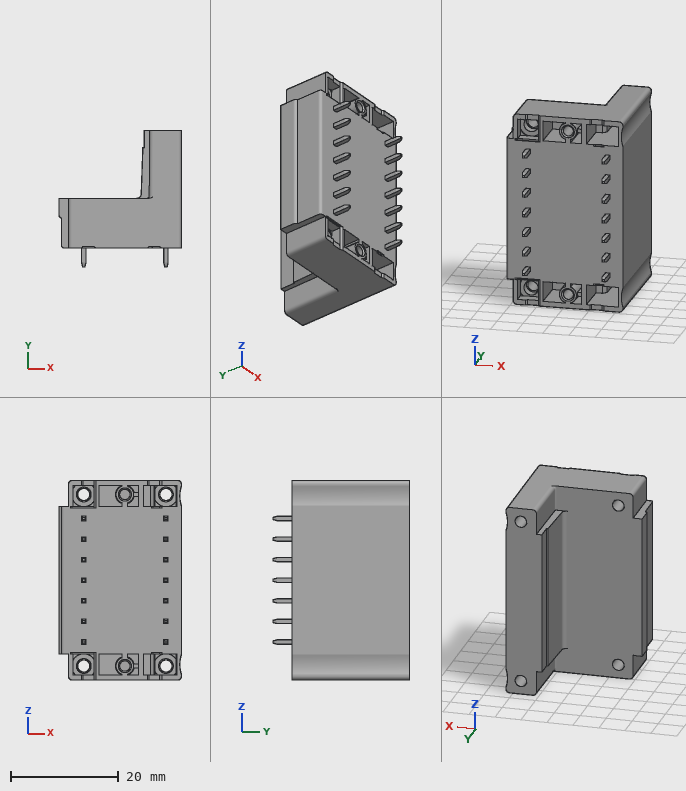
import cadquery as cq
import math


LENGTH = 37.05
WIDTH = 22.7
HEIGHT = 21.85
HALF_LENGTH = LENGTH / 2

END_LENGTH = 4.8
MIDDLE_LENGTH = LENGTH - 2 * END_LENGTH
FOOT_HEIGHT = 9.25
STEP_DEPTH = 0.45
STEP_Y = 6.1
STEP_RADIUS = 0.55
FOOT_EDGE_RADIUS = 0.55
LEDGE_Y = 18.65
LEDGE_X = 15.53
WALL_BASE_X = 15.2
WALL_TOP_X = 15.8
WALL_BASE_RADIUS = 0.8

END_FOOT_X = 1.75
END_WALL_BASE_X = 16.7
END_WALL_TOP_X = 16.83
END_EDGE_RADIUS = 0.75
END_BASE_RADIUS = 0.3
BACK_RADIUS = 0.75
DENT_DEPTH = 0.3
DENT_RADIUS = 5.93

PIN_PITCH = 3.8
PIN_COUNT = 7
PIN_ROW_X = 4.6
PIN_ROW_SPACING = 15.25
PIN_WIDTH = 0.85
PIN_TIP_WIDTH = 0.4
PIN_LENGTH = 3.52
PIN_TIP_LENGTH = 0.8

POCKET_TOP = HALF_LENGTH - 1.0
POCKET_BOTTOM = HALF_LENGTH - END_LENGTH
AXIS_Z = HALF_LENGTH - 2.63

FOOT_POCKET = (2.55, 6.5)
FOOT_POCKET_DEPTH = 2.22

SHELF_X = 15.7
SLOPE_START_X = 16.97
BAY_X = 17.65
BAY_END_X = 21.85
BAY_DRAFT = 0.15
SHELF_DEPTH = 7.4
SLOPE_DROP = BAY_X - SLOPE_START_X
BAY_DEPTH = 14.82

SCREW_RADIUS = 1.1
COUNTERBORE_RADIUS = 1.37
COUNTERBORE_DEPTH = 1.85
SEAT_RADIUS = 2.25
SEAT_DEPTH = 0.2

BOSS_POCKET = (7.4, 14.8)
BOSS_POCKET_DEPTH = 7.4
BOSS_X = PIN_ROW_X + PIN_ROW_SPACING / 2
BOSS_RADIUS = 1.63
BOSS_BASE_RADIUS = 1.75
BOSS_HOLE_RADIUS = 0.95
BOSS_MOUTH_RADIUS = 1.22
BOSS_MOUTH_DEPTH = 0.3
BOSS_HOLE_DEPTH = 5.55
CROSS_RIB_WIDTH = 1.0
SIDE_RIB_WIDTH = 0.75
SIDE_RIB_DROP = 0.75

CHANNEL_DEPTH = 0.3
CHANNEL_BOTTOM = POCKET_BOTTOM - 0.3
FOOT_CHANNEL_OUTER_X = 4.15
FOOT_CHANNEL_INNER_X = 2.1
FOOT_CHANNEL_END_X = 6.9
WALL_CHANNEL_OUTER_X = 16.38
WALL_CHANNEL_INNER_X = 17.12
WALL_CHANNEL_END_X = 19.1
LEFT_BEVEL = 0.3
RIGHT_BEVEL = 0.4


def block(x0, x1, y0, y1, z0, z1):
    """Box between two opposite corners."""
    return cq.Workplane("XY").box(x1 - x0, y1 - y0, z1 - z0, centered=False).translate((x0, y0, z0))


def rod(x, radius, y0, y1, z=AXIS_Z):
    """Cylinder along Y."""
    return cq.Workplane("XZ", origin=(x, y0, z)).circle(radius).extrude(y0 - y1)


def cone(x, front_radius, back_radius, depth):
    """Round taper along Y starting at the pin face."""
    start = cq.Vector(x, 0, AXIS_Z)
    along_y = cq.Vector(0, 1, 0)
    return cq.Workplane("XY").add(cq.Solid.makeCone(front_radius, back_radius, depth, start, along_y))


def middle_section():
    """Housing between the two ends, as one L-shaped extrusion along Z."""
    step_angle = math.acos(1 - STEP_DEPTH / STEP_RADIUS)
    step_mid_x = STEP_RADIUS * (1 - math.cos(step_angle / 2))
    step_mid_y = STEP_Y - STEP_RADIUS * math.sin(step_angle / 2)
    step_end_y = STEP_Y - STEP_RADIUS * math.sin(step_angle)
    profile = (
        cq.Workplane("XY")
        .moveTo(WIDTH, 0)
        .lineTo(WIDTH, HEIGHT)
        .lineTo(WALL_TOP_X, HEIGHT)
        .lineTo(WALL_TOP_X, LEDGE_Y)
        .lineTo(LEDGE_X, LEDGE_Y)
        .lineTo(WALL_BASE_X, FOOT_HEIGHT)
        .lineTo(0, FOOT_HEIGHT)
        .lineTo(0, STEP_Y)
        .threePointArc((step_mid_x, step_mid_y), (STEP_DEPTH, step_end_y))
        .lineTo(STEP_DEPTH, 0)
        .close()
        .extrude(MIDDLE_LENGTH)
        .translate((0, 0, -MIDDLE_LENGTH / 2))
    )
    rounded = profile.edges(cq.NearestToPointSelector((STEP_DEPTH, 0, 0))).fillet(FOOT_EDGE_RADIUS)
    return rounded.edges(cq.NearestToPointSelector((WALL_BASE_X, FOOT_HEIGHT, 0))).fillet(WALL_BASE_RADIUS)


def end_section():
    """Solid +Z end of the housing, before its pockets are cut."""
    foot = block(END_FOOT_X, WIDTH, 0, FOOT_HEIGHT, POCKET_BOTTOM, HALF_LENGTH)
    foot = foot.edges("|Y and >Z and <X").fillet(END_EDGE_RADIUS)
    wall = (
        cq.Workplane("XY", origin=(0, 0, POCKET_BOTTOM))
        .moveTo(WIDTH, 0)
        .lineTo(WIDTH, HEIGHT)
        .lineTo(END_WALL_TOP_X, HEIGHT)
        .lineTo(END_WALL_BASE_X, FOOT_HEIGHT)
        .lineTo(END_WALL_BASE_X, 0)
        .close()
        .extrude(END_LENGTH)
    )
    outer_corner = ((END_WALL_BASE_X + END_WALL_TOP_X) / 2, (FOOT_HEIGHT + HEIGHT) / 2, HALF_LENGTH)
    wall = wall.edges(cq.NearestToPointSelector(outer_corner)).fillet(END_EDGE_RADIUS)
    body = foot.union(wall)
    base = (END_WALL_BASE_X, FOOT_HEIGHT, POCKET_BOTTOM + END_LENGTH / 2)
    body = body.edges(cq.NearestToPointSelector(base)).fillet(END_BASE_RADIUS)
    body = body.edges("|Y and >Z and >X").fillet(BACK_RADIUS)
    dent_z = (POCKET_TOP + POCKET_BOTTOM) / 2
    return body.cut(rod(WIDTH - DENT_DEPTH + DENT_RADIUS, DENT_RADIUS, 0, HEIGHT, dent_z))


def screw_hole(x, seat_y, exit_y):
    """Stepped screw hole running from a pocket floor out through the housing."""
    hole = rod(x, SCREW_RADIUS, seat_y, exit_y)
    return hole.union(rod(x, COUNTERBORE_RADIUS, seat_y, seat_y + SEAT_DEPTH + COUNTERBORE_DEPTH))


def foot_screw_pocket():
    """Short pocket with a round screw seat sunk in its floor."""
    x0, x1 = FOOT_POCKET
    pocket = block(x0, x1, 0, FOOT_POCKET_DEPTH, POCKET_BOTTOM, POCKET_TOP)
    reach = block(x0, x1, 0, FOOT_HEIGHT, POCKET_BOTTOM, POCKET_TOP)
    seat = rod(PIN_ROW_X, SEAT_RADIUS, FOOT_POCKET_DEPTH, FOOT_POCKET_DEPTH + SEAT_DEPTH).intersect(reach)
    return pocket.union(seat).union(screw_hole(PIN_ROW_X, FOOT_POCKET_DEPTH, FOOT_HEIGHT))


def wall_screw_pocket():
    """Stepped pocket whose deep bay ends at a round screw seat."""
    screw_x = PIN_ROW_X + PIN_ROW_SPACING
    pocket = (
        cq.Workplane("XY", origin=(0, 0, POCKET_BOTTOM))
        .moveTo(SHELF_X, 0)
        .lineTo(SHELF_X, SHELF_DEPTH)
        .lineTo(SLOPE_START_X, SHELF_DEPTH)
        .lineTo(BAY_X, SHELF_DEPTH + SLOPE_DROP)
        .lineTo(BAY_X + BAY_DRAFT, BAY_DEPTH)
        .lineTo(BAY_END_X - BAY_DRAFT, BAY_DEPTH)
        .lineTo(BAY_END_X, 0)
        .close()
        .extrude(POCKET_TOP - POCKET_BOTTOM)
    )
    reach = block(BAY_X + BAY_DRAFT, BAY_END_X - BAY_DRAFT, 0, HEIGHT, POCKET_BOTTOM, POCKET_TOP)
    seat = rod(screw_x, SEAT_RADIUS, BAY_DEPTH, BAY_DEPTH + SEAT_DEPTH).intersect(reach)
    return pocket.union(seat).union(screw_hole(screw_x, BAY_DEPTH, HEIGHT))


def boss_pocket():
    """Pocket that leaves a hollow boss standing, tied to its walls by ribs."""
    x0, x1 = BOSS_POCKET
    pocket = block(x0, x1, 0, BOSS_POCKET_DEPTH, POCKET_BOTTOM, POCKET_TOP)
    half_cross = CROSS_RIB_WIDTH / 2
    half_side = SIDE_RIB_WIDTH / 2
    boss = cone(BOSS_X, BOSS_RADIUS, BOSS_BASE_RADIUS, BOSS_POCKET_DEPTH)
    cross_rib = block(
        BOSS_X - half_cross, BOSS_X + half_cross, 0, BOSS_POCKET_DEPTH, POCKET_BOTTOM, POCKET_TOP
    )
    side_rib = block(BOSS_X, x1, SIDE_RIB_DROP, BOSS_POCKET_DEPTH, AXIS_Z - half_side, AXIS_Z + half_side)
    hole = rod(BOSS_X, BOSS_HOLE_RADIUS, 0, BOSS_HOLE_DEPTH)
    mouth = cone(BOSS_X, BOSS_MOUTH_RADIUS, BOSS_HOLE_RADIUS, BOSS_MOUTH_DEPTH)
    return pocket.cut(boss).cut(cross_rib).cut(side_rib).union(hole).union(mouth)


def channel(x0, x1, z0, z1):
    """Shallow channel along Z with bevelled sides."""
    return (
        cq.Workplane("XY", origin=(0, 0, z0))
        .moveTo(x0, 0)
        .lineTo(x0 + LEFT_BEVEL, CHANNEL_DEPTH)
        .lineTo(x1 - RIGHT_BEVEL, CHANNEL_DEPTH)
        .lineTo(x1, 0)
        .close()
        .extrude(z1 - z0)
    )


def pin(x, z):
    """Square pin with a tapered tip, rooted in the pin face."""
    shank_end = PIN_TIP_LENGTH - PIN_LENGTH
    shank = cq.Workplane("XZ", origin=(x, 0, z)).rect(PIN_WIDTH, PIN_WIDTH).extrude(-shank_end)
    tip = (
        cq.Workplane("XZ", origin=(x, shank_end, z))
        .rect(PIN_WIDTH, PIN_WIDTH)
        .workplane(offset=PIN_TIP_LENGTH)
        .rect(PIN_TIP_WIDTH, PIN_TIP_WIDTH)
        .loft()
    )
    return shank.union(tip)


end_cuts = [
    foot_screw_pocket(),
    wall_screw_pocket(),
    boss_pocket(),
    channel(FOOT_CHANNEL_OUTER_X, FOOT_CHANNEL_END_X, CHANNEL_BOTTOM, HALF_LENGTH),
    channel(FOOT_CHANNEL_INNER_X, FOOT_CHANNEL_END_X, CHANNEL_BOTTOM, POCKET_BOTTOM),
    channel(WALL_CHANNEL_OUTER_X, WALL_CHANNEL_END_X, POCKET_TOP, HALF_LENGTH),
    channel(WALL_CHANNEL_INNER_X, WALL_CHANNEL_END_X, CHANNEL_BOTTOM, POCKET_BOTTOM),
]

upper_end = end_section()
result = middle_section().union(upper_end).union(upper_end.mirror("XY"))
for cut in end_cuts:
    result = result.cut(cut).cut(cut.mirror("XY"))

for row_x in (PIN_ROW_X, PIN_ROW_X + PIN_ROW_SPACING):
    for index in range(PIN_COUNT):
        result = result.union(pin(row_x, (index - (PIN_COUNT - 1) / 2) * PIN_PITCH))